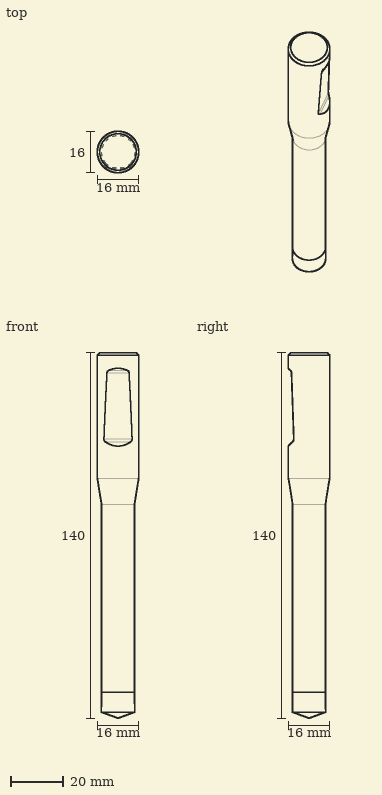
import cadquery as cq
import math

total_length = 140.0
shank_radius = 16.0 / 2
neck_radius = 12.7 / 2
head_radius = 12.9 / 2

shank_length = 48.0
shank_chamfer = 1.0
taper_length = 10.0
head_length = 7.5
point_angle = 140.0

flat_tilt = 2.0
flat_top_drop = 7.7
flat_bottom_drop = 33.0
flat_bottom_y = -5.9
ramp_angle = 45.0
ramp_blend_radius = 1.4

shank_bottom_z = total_length - shank_length
neck_top_z = shank_bottom_z - taper_length
point_height = head_radius / math.tan(math.radians(point_angle / 2))
joint_z = point_height + head_length


def make_body_blank():
    """Turned shank, taper and neck."""
    return (
        cq.Workplane("XZ")
        .moveTo(0, joint_z)
        .lineTo(neck_radius, joint_z)
        .lineTo(neck_radius, neck_top_z)
        .lineTo(shank_radius, shank_bottom_z)
        .lineTo(shank_radius, total_length - shank_chamfer)
        .lineTo(shank_radius - shank_chamfer, total_length)
        .lineTo(0, total_length)
        .close()
        .revolve(360, (0, 0), (0, 1))
    )


def ramp_profile(floor_y, floor_z, direction):
    """Points (y, z) of one ramp: blend middle, blend end, and end clear of the shank.

    The blend is tangent to the flat at (floor_y, floor_z) and to the ramp.
    The direction is +1 for a ramp that rises upwards and -1 for one that rises downwards.
    """
    ramp = math.radians(ramp_angle)
    start = direction * math.radians(flat_tilt)

    def blend_point(angle):
        return (
            floor_y + ramp_blend_radius * (math.cos(angle) - math.cos(start)),
            floor_z + direction * ramp_blend_radius * (math.sin(angle) - math.sin(start)),
        )

    middle = blend_point((start + ramp) / 2)
    end_y, end_z = blend_point(ramp)
    clear_y = -shank_radius - ramp_blend_radius
    clear_z = end_z + direction * (end_y - clear_y) / math.tan(ramp)
    return middle, (end_y, end_z), (clear_y, clear_z)


def make_flat_cutter():
    """Prism across X: inclined flat with a blended ramp at each end."""
    bottom_z = total_length - flat_bottom_drop
    top_z = total_length - flat_top_drop
    top_y = flat_bottom_y - (top_z - bottom_z) * math.tan(math.radians(flat_tilt))
    top_middle, top_blend_end, top_clear = ramp_profile(top_y, top_z, 1)
    bottom_middle, bottom_blend_end, bottom_clear = ramp_profile(flat_bottom_y, bottom_z, -1)
    return (
        cq.Workplane("YZ")
        .moveTo(flat_bottom_y, bottom_z)
        .lineTo(top_y, top_z)
        .threePointArc(top_middle, top_blend_end)
        .lineTo(*top_clear)
        .lineTo(*bottom_clear)
        .lineTo(*bottom_blend_end)
        .threePointArc(bottom_middle, (flat_bottom_y, bottom_z))
        .close()
        .extrude(shank_radius, both=True)
    )


def make_cutting_head():
    """Head with a slight back taper and a conical point."""
    return (
        cq.Workplane("XZ")
        .lineTo(head_radius, point_height)
        .lineTo(neck_radius, joint_z)
        .lineTo(0, joint_z)
        .close()
        .revolve(360, (0, 0), (0, 1))
    )


tool_body = make_body_blank().cut(make_flat_cutter())
cutting_head = make_cutting_head()

result = cq.Compound.makeCompound([tool_body.val(), cutting_head.val()])